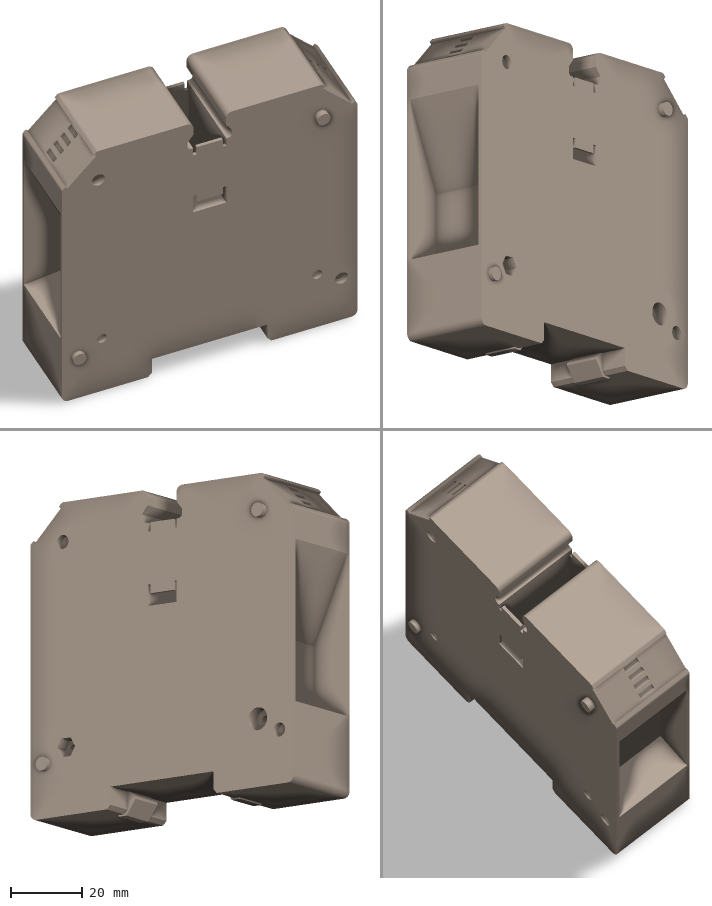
import cadquery as cq
import math

LENGTH = 91.0
THICKNESS = 27.0
HEIGHT = 90.0
HALF_LENGTH = LENGTH / 2
SIDE_X = THICKNESS / 2
WALL = 1.0
INNER_WIDTH = THICKNESS - 2 * WALL

BOTTOM_RADIUS = 2.0
SHOULDER_CHAMFER = 10.9
SHOULDER_ANGLE = 45.0
SHOULDER_RADIUS = 1.0

LABEL_DEPTH = 0.9
LABEL_LENGTH = 12.6
VENT_COUNT = 4
VENT_PITCH = 3.1
VENT_WIDTH = 5.0
VENT_HEIGHT = 1.7
VENT_DEPTH = 0.9
VENT_FLARE_ANGLE = 18.4

NOTCH_HALF_WIDTH = 5.0
NOTCH_DEPTH = 9.5
NOTCH_LIP_DEPTH = 4.5
NOTCH_FLARE_DEPTH = 6.8
NOTCH_UNDERCUT = 1.9
NOTCH_TOP_RADIUS = 2.0
NOTCH_FLOOR_RADIUS = 1.2

SHAFT_HALF_WIDTH = 5.1
SHAFT_BOTTOM = HEIGHT - 33.4
TAB_HALF_WIDTH = 4.0
TAB_BOTTOM = HEIGHT - 29.85
WINDOW_TOP = HEIGHT - 27.3
SLIT_DEPTH = 2.6

FUNNEL_TOP = 69.9
FUNNEL_BACK_TOP = 44.7
FUNNEL_BACK_BOTTOM = 24.5
FUNNEL_BOTTOM = 23.3
FUNNEL_DEPTH = 11.5

RAIL_HALF_WIDTH = 17.8
RAIL_DEPTH = 6.4
RAIL_CHAMFER = 1.2
FOOT_WIDTH = 10.5
FOOT_DROP = 0.5
FOOT_OUTER_Y = 20.9
FOOT_TOE_Y = 18.2
FOOT_TIP_Y = 15.0
FOOT_TIP_BOTTOM = 4.0
FOOT_TIP_TOP = 4.7
FOOT_NECK_Y = 17.3

PIN_DIAMETER = 4.0
LONG_PIN = 2.0
SHORT_PIN = 1.5
SOCKET_DEPTH = 2.2
UPPER_PIN_Y = 34.3
LOWER_PIN_Y = 40.6
LOWER_PIN_Z = 15.6
PINS = [
    (-1, -UPPER_PIN_Y, 79.2, LONG_PIN),
    (1, UPPER_PIN_Y, 78.6, LONG_PIN),
    (-1, LOWER_PIN_Y, LOWER_PIN_Z, SHORT_PIN),
    (1, -LOWER_PIN_Y, LOWER_PIN_Z, SHORT_PIN),
]

BOLT_Y = 33.1
BOLT_Z = 19.6
BOLT_DIAMETER = 3.1
NUT_ACROSS_CORNERS = 6.2
HEAD_DIAMETER = 6.55
BOLT_RECESS_DEPTH = 4.0

PICK_MARGIN = 0.1


def box(x_size, y_min, y_max, z_min, z_max):
    """Box centred on X = 0 between the given Y and Z limits."""
    return cq.Workplane("XY").box(x_size, y_max - y_min, z_max - z_min).translate(
        (0, (y_min + y_max) / 2, (z_min + z_max) / 2)
    )


def prism(points, x_size):
    """Extrude a closed Y-Z outline symmetrically about X = 0."""
    return cq.Workplane("YZ").polyline(points).close().extrude(x_size / 2, both=True)


def both_ends(shape):
    """Join a shape with its mirror image about Y = 0."""
    return shape.union(shape.mirror("XZ"))


def along_x_edges(shape, y, z):
    """The pair of edges parallel to X at +y and -y."""
    at_edge = [
        cq.selectors.BoxSelector(
            (-SIDE_X, end_y - PICK_MARGIN, z - PICK_MARGIN),
            (SIDE_X, end_y + PICK_MARGIN, z + PICK_MARGIN),
        )
        for end_y in (-y, y)
    ]
    return shape.edges("|X").edges(at_edge[0] + at_edge[1])


def make_block():
    """Main body with its outer edges shaped and the rail channel cut."""
    block = box(THICKNESS, -HALF_LENGTH, HALF_LENGTH, 0, HEIGHT)
    block = along_x_edges(block, HALF_LENGTH, 0).fillet(BOTTOM_RADIUS)
    block = along_x_edges(block, HALF_LENGTH, HEIGHT).chamfer(SHOULDER_CHAMFER)
    block = along_x_edges(block, HALF_LENGTH, HEIGHT - SHOULDER_CHAMFER).fillet(SHOULDER_RADIUS)
    block = along_x_edges(block, HALF_LENGTH - SHOULDER_CHAMFER, HEIGHT).fillet(SHOULDER_RADIUS)
    block = block.cut(box(THICKNESS, -RAIL_HALF_WIDTH, RAIL_HALF_WIDTH, 0, RAIL_DEPTH))
    return along_x_edges(block, RAIL_HALF_WIDTH, 0).chamfer(RAIL_CHAMFER)


def cut_notch(block):
    half = [
        (NOTCH_HALF_WIDTH, HEIGHT),
        (NOTCH_HALF_WIDTH, HEIGHT - NOTCH_LIP_DEPTH),
        (NOTCH_HALF_WIDTH + NOTCH_UNDERCUT, HEIGHT - NOTCH_FLARE_DEPTH),
        (NOTCH_HALF_WIDTH + NOTCH_UNDERCUT, HEIGHT - NOTCH_DEPTH),
    ]
    outline = half + [(-y, z) for y, z in reversed(half)]
    notch = prism(outline, THICKNESS)
    notch = notch.edges("|X").edges("<Z").fillet(NOTCH_FLOOR_RADIUS)
    return along_x_edges(block.cut(notch), NOTCH_HALF_WIDTH, HEIGHT).fillet(NOTCH_TOP_RADIUS)


def make_shaft_openings():
    """Shaft between the side walls plus the openings through those walls."""
    floor_z = HEIGHT - NOTCH_DEPTH
    shaft = box(INNER_WIDTH, -SHAFT_HALF_WIDTH, SHAFT_HALF_WIDTH, SHAFT_BOTTOM, floor_z)
    slits = box(THICKNESS, -SHAFT_HALF_WIDTH, SHAFT_HALF_WIDTH, floor_z - SLIT_DEPTH, floor_z)
    window = box(THICKNESS, -SHAFT_HALF_WIDTH, SHAFT_HALF_WIDTH, SHAFT_BOTTOM, WINDOW_TOP)
    tab = box(THICKNESS, -TAB_HALF_WIDTH, TAB_HALF_WIDTH, TAB_BOTTOM, floor_z)
    return slits.union(window).cut(tab).union(shaft)


def make_label_recess():
    """Label recess with its vents, lying flat: the shoulder surface is Z = 0."""
    recess = box(THICKNESS, -LABEL_LENGTH / 2, LABEL_LENGTH / 2, -LABEL_DEPTH, 0)
    wall_lean = VENT_DEPTH * math.tan(math.radians(VENT_FLARE_ANGLE))
    vent = prism(
        [
            (-VENT_HEIGHT / 2, -LABEL_DEPTH),
            (VENT_HEIGHT / 2, -LABEL_DEPTH),
            (VENT_HEIGHT / 2 - wall_lean, -LABEL_DEPTH - VENT_DEPTH),
            (-VENT_HEIGHT / 2, -LABEL_DEPTH - VENT_DEPTH),
        ],
        VENT_WIDTH,
    )
    for i in range(VENT_COUNT):
        recess = recess.union(vent.translate((0, (i - (VENT_COUNT - 1) / 2) * VENT_PITCH, 0)))
    return recess


def place_on_shoulder(shape, side):
    """Tilt a flat feature onto the shoulder at the -Y (-1) or +Y (+1) end."""
    tilted = shape.rotate((0, 0, 0), (1, 0, 0), -side * SHOULDER_ANGLE)
    return tilted.translate((0, side * (HALF_LENGTH - SHOULDER_CHAMFER / 2), HEIGHT - SHOULDER_CHAMFER / 2))


def make_funnel():
    """Tapered conductor entry in the -Y end face."""
    back_y = FUNNEL_DEPTH - HALF_LENGTH
    outline = [
        (-HALF_LENGTH, FUNNEL_BOTTOM),
        (-HALF_LENGTH, FUNNEL_TOP),
        (back_y, FUNNEL_BACK_TOP),
        (back_y, FUNNEL_BACK_BOTTOM),
    ]
    return prism(outline, INNER_WIDTH)


def make_foot():
    """Clip foot whose tip reaches into the rail channel from the +Y side."""
    outline = [
        (FOOT_OUTER_Y, -FOOT_DROP),
        (FOOT_TOE_Y, -FOOT_DROP),
        (FOOT_TIP_Y, FOOT_TIP_BOTTOM),
        (FOOT_TIP_Y, FOOT_TIP_TOP),
        (FOOT_NECK_Y, RAIL_DEPTH),
        (FOOT_OUTER_Y, RAIL_DEPTH),
    ]
    return prism(outline, FOOT_WIDTH)


def side_face(side, y, z):
    """Workplane on a side face (-1 or +1) with its normal pointing out of the part."""
    plane = cq.Plane(origin=(side * SIDE_X, y, z), xDir=(0, 1, 0), normal=(side, 0, 0))
    return cq.Workplane(plane)


def add_pins(block):
    for side, y, z, pin_length in PINS:
        pin = side_face(side, y, z).circle(PIN_DIAMETER / 2).extrude(pin_length)
        socket = side_face(-side, y, z).circle(PIN_DIAMETER / 2).extrude(-SOCKET_DEPTH)
        block = block.union(pin).cut(socket)
    return block


def cut_bolts(block):
    for y in (-BOLT_Y, BOLT_Y):
        block = block.cut(side_face(-1, y, BOLT_Z).circle(BOLT_DIAMETER / 2).extrude(-THICKNESS))
    nut = side_face(-1, BOLT_Y, BOLT_Z).polygon(6, NUT_ACROSS_CORNERS).extrude(-BOLT_RECESS_DEPTH)
    head = side_face(-1, -BOLT_Y, BOLT_Z).circle(HEAD_DIAMETER / 2).extrude(-BOLT_RECESS_DEPTH)
    return block.cut(nut).cut(head)


housing = cut_notch(make_block())
housing = housing.cut(make_shaft_openings())
for end in (-1, 1):
    housing = housing.cut(place_on_shoulder(make_label_recess(), end))
housing = housing.cut(both_ends(make_funnel()))
housing = housing.union(both_ends(make_foot()))
housing = add_pins(housing)
result = cut_bolts(housing)